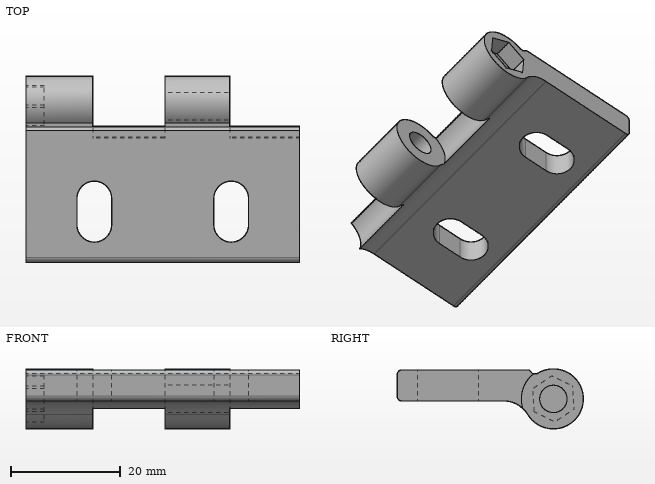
import cadquery as cq
import math


plate_length = 50.0
plate_thickness = 5.7
plate_top = 5.3
front_edge_radius = 0.9

knuckle_radius = 5.5
first_knuckle_end = 12.25
second_knuckle_start = 25.4
second_knuckle_end = 37.25
clearance_radius = 5.85
neck_radius = 5.0

groove_depth = 0.7
groove_chamfer = 0.7
groove_offset = 3.75

hex_across_flats = 7.3
hex_depth = 3.35
hex_tilt = 3.7
pin_hole_diameter = 5.0

slot_width = 6.3
slot_length = 11.1
slot_centers_x = [plate_length / 4, plate_length * 3 / 4]
slot_from_front = 9.3

overall_depth = 34.05
front_y = knuckle_radius - overall_depth
plate_bottom = plate_top - plate_thickness


def knuckle_point(y, z):
    """Move a point from the knuckle axis out to the knuckle surface, along the same ray."""
    scale = knuckle_radius / math.hypot(y, z)
    return (y * scale, z * scale)


def leaf_profile():
    """Section across X: round knuckle blended into the flat plate."""
    groove_z = plate_top - groove_depth
    groove_start = (-math.sqrt(knuckle_radius**2 - groove_z**2), groove_z)

    neck_z = plate_bottom - neck_radius
    neck_y = -math.sqrt((knuckle_radius + neck_radius) ** 2 - neck_z**2)
    neck_end = knuckle_point(neck_y, neck_z)
    neck_mid_angle = (math.pi / 2 + math.atan2(-neck_z, -neck_y)) / 2
    neck_mid = (
        neck_y + neck_radius * math.cos(neck_mid_angle),
        neck_z + neck_radius * math.sin(neck_mid_angle),
    )

    return (
        cq.Workplane("YZ")
        .moveTo(*groove_start)
        .lineTo(-groove_offset, groove_z)
        .lineTo(-groove_offset - groove_chamfer, groove_z + groove_chamfer)
        .lineTo(front_y, plate_top)
        .lineTo(front_y, plate_bottom)
        .lineTo(neck_y, plate_bottom)
        .threePointArc(neck_mid, neck_end)
        .threePointArc((knuckle_radius, 0), groove_start)
        .close()
    )


def bar_along_x(profile, start, end):
    """Extrude a YZ profile from one X position to another."""
    return profile.extrude(end - start).translate((start, 0, 0))


def clearance(start, end):
    """Round gap that lets a mating knuckle turn beside this leaf."""
    return bar_along_x(cq.Workplane("YZ").circle(clearance_radius), start, end)


def hex_socket():
    """Blind hexagonal pocket in the left end face."""
    circumscribed_diameter = hex_across_flats / math.cos(math.pi / 6)
    socket = cq.Workplane("YZ").polygon(6, circumscribed_diameter).extrude(hex_depth)
    return socket.rotate((0, 0, 0), (1, 0, 0), 90 + hex_tilt)


def pin_hole(start, end):
    """Round bore on the knuckle axis."""
    return bar_along_x(cq.Workplane("YZ").circle(pin_hole_diameter / 2), start, end)


def mounting_slots():
    """Two slots through the plate, long side along Y."""
    return (
        cq.Workplane("XY", origin=(0, front_y + slot_from_front, plate_bottom))
        .pushPoints([(x, 0) for x in slot_centers_x])
        .slot2D(slot_length, slot_width, 90)
        .extrude(plate_thickness)
    )


gaps = [(first_knuckle_end, second_knuckle_start), (second_knuckle_end, plate_length)]

result = bar_along_x(leaf_profile(), 0, plate_length)
result = result.faces("<Y").edges("|X").fillet(front_edge_radius)
for gap_start, gap_end in gaps:
    result = result.cut(clearance(gap_start, gap_end))
result = result.cut(hex_socket())
result = result.cut(pin_hole(second_knuckle_start, second_knuckle_end))
result = result.cut(mounting_slots())